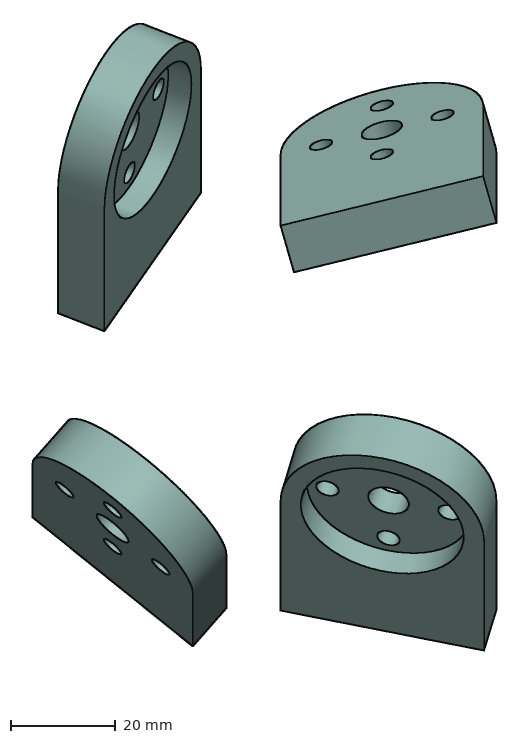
import cadquery as cq

height = 55
width = 40.0
thickness = 10.0
top_radius = width / 2
hub_z = height - top_radius

bore_diameter = 8.0
bolt_hole_diameter = 4.4
bolt_circle_diameter = 24.0
bolt_count = 4

recess_diameter = 32.0
recess_depth = 5.0


def hub_plane(x):
    """YZ plane at the given X, centred on the hub axis."""
    return cq.Workplane("YZ", origin=(x, 0, hub_z))


def make_plate():
    return (
        cq.Workplane("YZ")
        .moveTo(-top_radius, 0)
        .lineTo(top_radius, 0)
        .lineTo(top_radius, hub_z)
        .threePointArc((0, height), (-top_radius, hub_z))
        .close()
        .extrude(thickness)
    )


def make_bore():
    return hub_plane(0).circle(bore_diameter / 2).extrude(thickness)


def make_bolt_holes():
    return (
        hub_plane(0)
        .polarArray(bolt_circle_diameter / 2, 0, 360, bolt_count)
        .circle(bolt_hole_diameter / 2)
        .extrude(thickness)
    )


def make_recess():
    return hub_plane(thickness - recess_depth).circle(recess_diameter / 2).extrude(recess_depth)


result = make_plate().cut(make_bore()).cut(make_bolt_holes()).cut(make_recess())